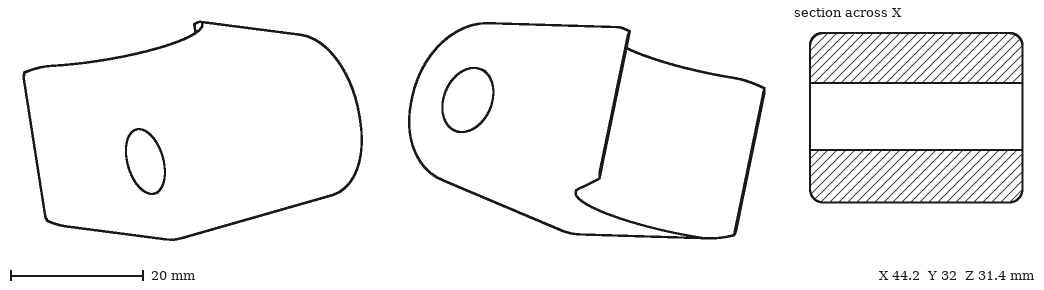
import cadquery as cq

width = 32.0
half_height = 12.5
corner_radius = 12.0
hole_diameter = 10.0
edge_fillet = 2.0
tilt = 15
saddle_radius = width / 2
saddle_axis_offset = 32.5
rear_length = 29.6


def make_blank():
    """Straight bar along X with a rounded nose, the pin hole axis on the origin."""
    blank = (
        cq.Workplane("XY")
        .box(rear_length + half_height, width, 2 * half_height)
        .translate(((half_height - rear_length) / 2, 0, 0))
        .edges("|Y and >X")
        .fillet(corner_radius)
    )
    return blank.faces("<Y or >Y").edges("not <X").fillet(edge_fillet)


def make_pin_hole():
    """Cylinder through the full width."""
    return cq.Workplane("XZ").circle(hole_diameter / 2).extrude(width, both=True)


def make_saddle():
    """Cylinder through the bar height that hollows the rear end."""
    return (
        cq.Workplane("XY")
        .center(-saddle_axis_offset, 0)
        .circle(saddle_radius)
        .extrude(2 * half_height, both=True)
    )


lug = make_blank().cut(make_pin_hole()).cut(make_saddle())

result = lug.rotate((0, 0, 0), (0, 1, 0), -tilt)